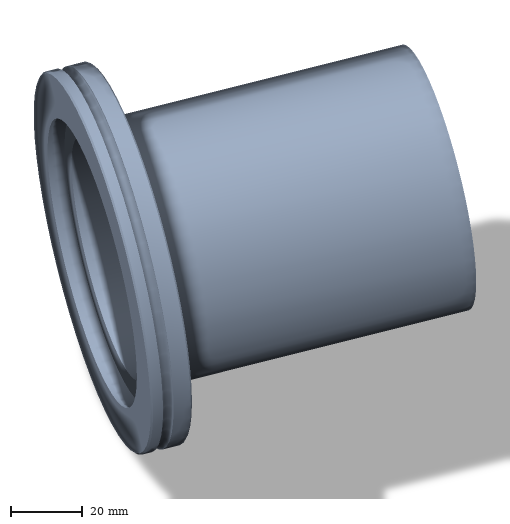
import cadquery as cq

total_length = 100.0
flange_diameter = 110.0
flange_thickness = 12.0
flange_chamfer = 0.5
tube_diameter = 76.2
bore_diameter = 70.0
recess_diameter = 83.0
recess_depth = 5.0
groove_radius = 1.5
groove_offset = 5.0


def cylinder(diameter, start, length):
    """Cylinder along +Y beginning at y = start."""
    return cq.Workplane("XZ", origin=(0, start, 0)).circle(diameter / 2).extrude(-length)


def rim_groove():
    """Ring with a round section, centred on the flange rim."""
    return (
        cq.Workplane("XY")
        .center(flange_diameter / 2, groove_offset)
        .circle(groove_radius)
        .revolve(360, (-flange_diameter / 2, 0), (-flange_diameter / 2, 1))
    )


flange = cylinder(flange_diameter, 0, flange_thickness).edges().chamfer(flange_chamfer)
flange = flange.cut(rim_groove())

body = flange.union(cylinder(tube_diameter, 0, total_length))

body = body.cut(cylinder(bore_diameter, 0, total_length))
result = body.cut(cylinder(recess_diameter, 0, recess_depth))